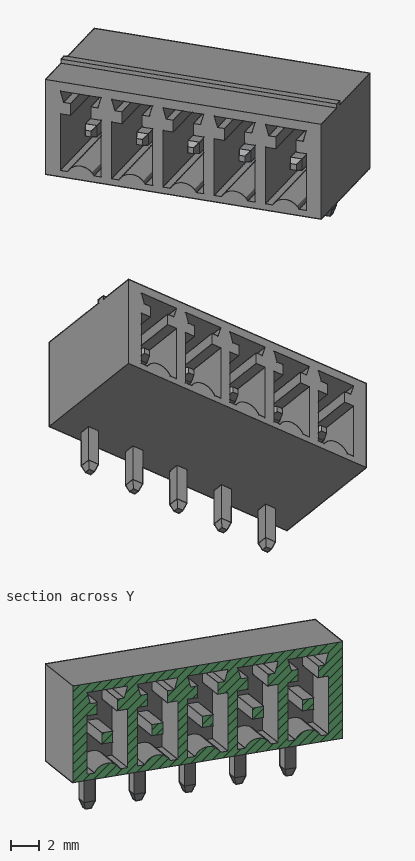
import cadquery as cq

length = 20.45
depth = 9.2
height = 7.2

ridge_height = 0.3
ridge_width = 0.6
ridge_setback = 2.92

contact_count = 5
pitch = 3.8

socket_depth = 7.15
socket_width = 3.03
socket_floor = 0.5
socket_top = 6.5
rail_bottom = 4.78
rail_top = 5.68
neck_width = 1.5
dovetail_width = 2.53
bump_width = 1.96
bump_height = 0.57

pin_size = 0.85
pin_tip_size = 0.45
pin_taper = 0.6
pin_axis_height = 2.95
pin_axis_depth = depth - 1.2
pin_drop = 3.45
pin_tip_setback = 1.4


def make_housing():
    body = cq.Workplane("XY").box(length, depth, height, centered=(True, False, False))
    ridge = (
        cq.Workplane("XY", origin=(0, ridge_setback, height))
        .box(length, ridge_width, ridge_height, centered=(True, False, False))
    )
    return body.union(ridge)


def make_socket(x):
    """Cutting solid with two side rails and a rounded bump on the floor."""
    wall = socket_width / 2
    neck = neck_width / 2
    dovetail = dovetail_width / 2
    bump = bump_width / 2
    return (
        cq.Workplane("XZ", origin=(x, 0, 0))
        .moveTo(-wall, socket_floor)
        .lineTo(-bump, socket_floor)
        .threePointArc((0, socket_floor + bump_height), (bump, socket_floor))
        .lineTo(wall, socket_floor)
        .lineTo(wall, rail_bottom)
        .lineTo(neck, rail_bottom)
        .lineTo(neck, rail_top)
        .lineTo(dovetail, rail_top)
        .lineTo(wall, socket_top)
        .lineTo(-wall, socket_top)
        .lineTo(-dovetail, rail_top)
        .lineTo(-neck, rail_top)
        .lineTo(-neck, rail_bottom)
        .lineTo(-wall, rail_bottom)
        .close()
        .extrude(-socket_depth)
    )


def make_leg(start, direction, leg_length):
    """Square bar from start along direction, ending in a tapered tip."""
    plane = cq.Plane(origin=start, xDir=(1, 0, 0), normal=direction)
    straight = leg_length - pin_taper
    bar = cq.Workplane(plane).rect(pin_size, pin_size).extrude(straight)
    tip = (
        cq.Workplane(plane)
        .workplane(offset=straight)
        .rect(pin_size, pin_size)
        .workplane(offset=pin_taper)
        .rect(pin_tip_size, pin_tip_size)
        .loft(ruled=True)
    )
    return bar.union(tip)


def make_pin(x):
    half = pin_size / 2
    forward = make_leg(
        (x, pin_axis_depth + half, pin_axis_height),
        (0, -1, 0),
        pin_axis_depth + half - pin_tip_setback,
    )
    downward = make_leg(
        (x, pin_axis_depth, pin_axis_height + half),
        (0, 0, -1),
        pin_axis_height + half + pin_drop,
    )
    return forward.union(downward)


result = make_housing()
for index in range(contact_count):
    contact_x = (index - (contact_count - 1) / 2) * pitch
    result = result.cut(make_socket(contact_x)).union(make_pin(contact_x))